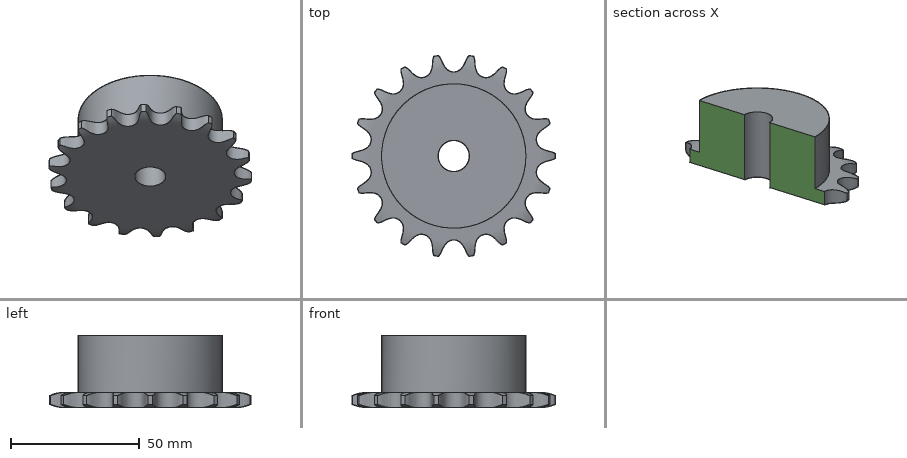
import cadquery as cq
import math

teeth = 18
pitch = 12.7
roller_diameter = 7.75

tip_diameter = 78.9
plate_thickness = 5.87
total_height = 28.0
hub_diameter = 56.0
bore_diameter = 12.0

flat_face_radius = 33.75
side_round_radius = 13.5

tip_radius = tip_diameter / 2
half_tooth_angle = math.pi / teeth
pitch_radius = pitch / 2 / math.sin(half_tooth_angle)

seating_clearance = 0.038
seating_angle = math.radians(35 + 60 / teeth)
working_angle = math.radians(18 - 56 / teeth)
topping_angle = math.radians(17 - 64 / teeth)
working_center_distance = 0.8 * roller_diameter
topping_center_distance = 1.4 * roller_diameter
seating_radius = 0.5025 * roller_diameter + seating_clearance
working_radius = working_center_distance + seating_radius
straight_length = (
    topping_center_distance * math.sin(topping_angle)
    - working_center_distance * math.sin(working_angle)
)
topping_radius = (
    working_center_distance * math.cos(working_angle)
    + topping_center_distance * math.cos(topping_angle)
    - working_radius
)


def polar(center, radius, angle):
    """Point at the given radius and angle (radians) from a center."""
    return (
        center[0] + radius * math.cos(angle),
        center[1] + radius * math.sin(angle),
    )


def mirrored(point):
    """Point reflected across the gap centreline, the Y axis."""
    return (-point[0], point[1])


def make_plate():
    """Disc whose rim is rounded on both sides, before the gaps are cut."""
    round_width = tip_radius - flat_face_radius
    round_angle = math.asin(round_width / side_round_radius)
    upper_center = (flat_face_radius, plate_thickness - side_round_radius)
    lower_center = (flat_face_radius, side_round_radius)
    upper_end_angle = math.pi / 2 - round_angle
    upper_mid_angle = math.pi / 2 - round_angle / 2
    return (
        cq.Workplane("XZ")
        .moveTo(0, 0)
        .lineTo(flat_face_radius, 0)
        .threePointArc(
            polar(lower_center, side_round_radius, -upper_mid_angle),
            polar(lower_center, side_round_radius, -upper_end_angle),
        )
        .lineTo(*polar(upper_center, side_round_radius, upper_end_angle))
        .threePointArc(
            polar(upper_center, side_round_radius, upper_mid_angle),
            (flat_face_radius, plate_thickness),
        )
        .lineTo(0, plate_thickness)
        .close()
        .revolve(360, (0, 0, 0), (0, 1, 0))
    )


def make_gap_cutter():
    """Prism filling one tooth gap, centred on the +Y axis."""
    roller_center = (0, pitch_radius)

    working_center = polar(roller_center, working_center_distance, math.pi - seating_angle)
    seat_end = polar(roller_center, seating_radius, -seating_angle)
    working_mid = polar(working_center, working_radius, working_angle / 2 - seating_angle)
    working_end = polar(working_center, working_radius, working_angle - seating_angle)

    tangent_angle = working_angle - seating_angle + math.pi / 2
    straight_end = polar(working_end, straight_length, tangent_angle)

    topping_center = polar(roller_center, topping_center_distance, -half_tooth_angle)
    topping_start_angle = tangent_angle + math.pi / 2
    center_to_tooth_axis = topping_center_distance - pitch / 2
    topping_end_angle = (
        math.pi - half_tooth_angle - math.acos(center_to_tooth_axis / topping_radius)
    )
    topping_mid_angle = (topping_start_angle + topping_end_angle) / 2
    topping_mid = polar(topping_center, topping_radius, topping_mid_angle)
    tooth_point = polar(topping_center, topping_radius, topping_end_angle)

    return (
        cq.Workplane("XY")
        .moveTo(*mirrored(seat_end))
        .threePointArc((0, pitch_radius - seating_radius), seat_end)
        .threePointArc(working_mid, working_end)
        .lineTo(*straight_end)
        .threePointArc(topping_mid, tooth_point)
        .lineTo(*mirrored(tooth_point))
        .threePointArc(mirrored(topping_mid), mirrored(straight_end))
        .lineTo(*mirrored(working_end))
        .threePointArc(mirrored(working_mid), mirrored(seat_end))
        .close()
        .extrude(plate_thickness)
    )


def make_sprocket():
    """Toothed plate with a hub on its upper side and a through bore."""
    body = make_plate()
    gap_cutter = make_gap_cutter()
    for index in range(teeth):
        gap_angle = index * 360 / teeth
        body = body.cut(gap_cutter.rotate((0, 0, 0), (0, 0, 1), gap_angle))
    hub_height = total_height - plate_thickness
    hub = (
        cq.Workplane("XY")
        .workplane(offset=plate_thickness)
        .circle(hub_diameter / 2)
        .extrude(hub_height)
    )
    bore = cq.Workplane("XY").circle(bore_diameter / 2).extrude(total_height)
    return body.union(hub).cut(bore)


result = make_sprocket()